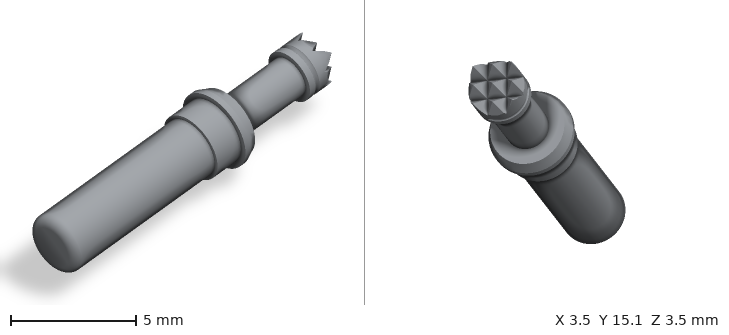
import cadquery as cq
import math

total_length = 15.1

tail_radius = 1.33
sleeve_radius = 1.5
flange_radius = 1.75
flange_nose_radius = 1.54
stem_radius = 0.9
head_radius = 1.16

tail_length = 7.9
tail_rounding = 0.4
sleeve_length = 1.33
flange_rim_length = 0.27
flange_taper_length = 0.5
stem_length = 3.5
collar_length = 0.32

ring_groove_width = 0.23
ring_groove_depth = 0.06

teeth_per_row = 3
tooth_pitch = 0.8
tooth_angle = 60.0
tooth_height = tooth_pitch / 2 / math.tan(math.radians(tooth_angle / 2))

tip_y = total_length / 2
tail_end_y = -total_length / 2
sleeve_y = tail_end_y + tail_length
flange_y = sleeve_y + sleeve_length
flange_taper_y = flange_y + flange_rim_length
stem_y = flange_taper_y + flange_taper_length
collar_y = stem_y + stem_length
ring_groove_y = collar_y + collar_length
crown_y = ring_groove_y + ring_groove_width


def turned_body():
    """Solid of revolution about Y, with the crown still a plain cylinder."""
    profile = (
        cq.Workplane("XY")
        .moveTo(0, tail_end_y)
        .lineTo(tail_radius - tail_rounding, tail_end_y)
        .radiusArc((tail_radius, tail_end_y + tail_rounding), -tail_rounding)
        .lineTo(tail_radius, sleeve_y)
        .lineTo(sleeve_radius, sleeve_y)
        .lineTo(sleeve_radius, flange_y)
        .lineTo(flange_radius, flange_y)
        .lineTo(flange_radius, flange_taper_y)
        .lineTo(flange_nose_radius, stem_y)
        .lineTo(stem_radius, stem_y)
        .lineTo(stem_radius, collar_y)
        .lineTo(head_radius, collar_y)
        .lineTo(head_radius, ring_groove_y)
        .sagittaArc((head_radius, crown_y), ring_groove_depth)
        .lineTo(head_radius, tip_y)
        .lineTo(0, tip_y)
        .close()
    )
    return profile.revolve(360, (0, 0, 0), (0, 1, 0))


def v_groove(valley_x):
    """Solid that fills one V groove, running along Z with its valley at valley_x."""
    return (
        cq.Workplane("XY")
        .moveTo(valley_x, tip_y - tooth_height)
        .lineTo(valley_x + tooth_pitch / 2, tip_y)
        .lineTo(valley_x - tooth_pitch / 2, tip_y)
        .close()
        .extrude(head_radius * 2, both=True)
    )


def cut_crown(body):
    """Cut V grooves on both sides of every row of teeth, along Z and then along X."""
    for index in range(teeth_per_row + 1):
        groove = v_groove((index - teeth_per_row / 2) * tooth_pitch)
        body = body.cut(groove)
        body = body.cut(groove.rotate((0, 0, 0), (0, 1, 0), 90))
    return body


result = cut_crown(turned_body())